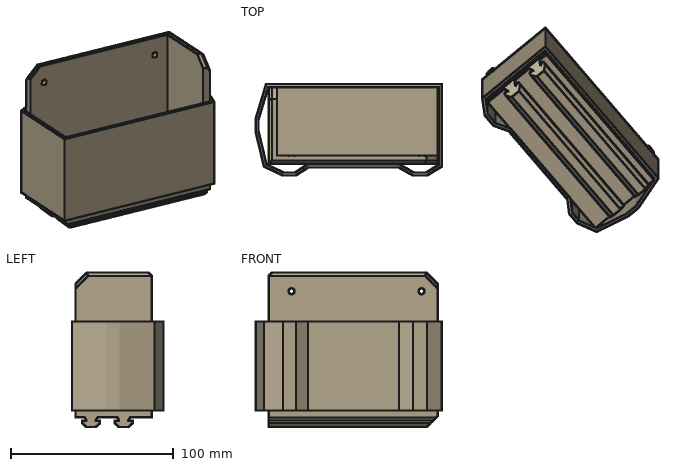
import cadquery as cq


holder_length = 104.0
holder_depth = 47.0
holder_height = 89.1
wall_thickness = 5.0
floor_thickness = wall_thickness
corner_cut = 7.0
edge_bevel = 2.1

hole_diameter = 3.4
hole_height = 77.5
first_hole_x = 14.1
second_hole_x = 94.0

rail_root_half_width = 4.0
rail_neck_half_width = 2.9
rail_flange_half_width = 5.6
rail_tip_half_width = 2.9
rail_neck_drop = 2.0
rail_flange_drop = 3.4
rail_height = 6.0
rail_pitch = 20.0
front_rail_y = 17.3
rail_end_cut = 6.9

sleeve_wall = 2.0
sleeve_bottom = 4.1
sleeve_height = 54.8
sleeve_length = 114.5
right_clearance = 0.6
sleeve_right = holder_length + right_clearance + sleeve_wall
sleeve_left = sleeve_right - sleeve_length
back_clearance = 0.2
front_clearance = 0.3
sleeve_depth = 56.3
sleeve_back = holder_depth + back_clearance + sleeve_wall
panel_front = -(front_clearance + sleeve_wall)
bulge_front = sleeve_back - sleeve_depth
side_corner_y = -1.6


def bevelled_wall(length):
    """Wall along +X, outer face at y = 0, with a cut far top corner and a bevelled outer rim."""
    shoulder_height = holder_height - corner_cut
    wall = (
        cq.Workplane("XZ")
        .moveTo(0, 0)
        .lineTo(length, 0)
        .lineTo(length, shoulder_height)
        .lineTo(length - corner_cut, holder_height)
        .lineTo(0, holder_height)
        .close()
        .extrude(-wall_thickness)
    )
    top_and_cut = cq.selectors.BoxSelector(
        (-1.1, -edge_bevel / 2, shoulder_height + edge_bevel),
        (length + 1.1, edge_bevel / 2, holder_height + 1.1),
    )
    return wall.edges(top_and_cut).chamfer(edge_bevel)


def make_walls():
    """Front and left walls, mitred together at their common corner."""
    front = bevelled_wall(holder_length)
    left = bevelled_wall(holder_depth).mirror("YZ").rotate((0, 0, 0), (0, 0, 1), -90)
    front_side = (
        cq.Workplane("XY")
        .moveTo(0, 0)
        .lineTo(holder_length, 0)
        .lineTo(holder_length, wall_thickness)
        .lineTo(wall_thickness, wall_thickness)
        .close()
        .extrude(holder_height)
    )
    left_side = (
        cq.Workplane("XY")
        .moveTo(0, 0)
        .lineTo(wall_thickness, wall_thickness)
        .lineTo(wall_thickness, holder_depth)
        .lineTo(0, holder_depth)
        .close()
        .extrude(holder_height)
    )
    return front.intersect(front_side).union(left.intersect(left_side))


def make_rail(center_y):
    """Undercut rail running along X below the floor."""
    half_profile = [
        (rail_root_half_width, 0),
        (rail_neck_half_width, -rail_neck_drop),
        (rail_flange_half_width, -rail_neck_drop),
        (rail_flange_half_width, -rail_flange_drop),
        (rail_tip_half_width, -rail_height),
    ]
    right_half = [(center_y + offset, z) for offset, z in half_profile]
    left_half = [(center_y - offset, z) for offset, z in reversed(half_profile)]
    return cq.Workplane("YZ").polyline(right_half + left_half).close().extrude(holder_length)


def make_rail_end_cutter():
    """Wedge that slopes the +X ends of the rails and the floor edge at 45 degrees."""
    return (
        cq.Workplane("XZ")
        .moveTo(holder_length - rail_end_cut, -rail_height)
        .lineTo(holder_length, -rail_height)
        .lineTo(holder_length, rail_end_cut - rail_height)
        .close()
        .extrude(-holder_depth)
    )


def make_holder():
    floor = cq.Workplane("XY").box(holder_length, holder_depth, floor_thickness, centered=False)
    holder = make_walls().union(floor)
    for rail_index in range(2):
        holder = holder.union(make_rail(front_rail_y + rail_index * rail_pitch))
    holder = holder.cut(make_rail_end_cutter())
    holes = (
        cq.Workplane("XZ")
        .pushPoints([(first_hole_x, hole_height), (second_hole_x, hole_height)])
        .circle(hole_diameter / 2)
        .extrude(-wall_thickness)
    )
    return holder.cut(holes)


def make_sleeve():
    outline = [
        (-1.6, sleeve_back),
        (sleeve_left, 27.7),
        (sleeve_left, 19.7),
        (-3.0, side_corner_y),
        (8.8, bulge_front),
        (16.7, bulge_front),
        (24.3, panel_front),
        (80.0, panel_front),
        (88.7, bulge_front),
        (97.3, bulge_front),
        (sleeve_right, side_corner_y),
        (sleeve_right, sleeve_back),
    ]
    base = cq.Workplane("XY").workplane(offset=sleeve_bottom)
    outer = base.polyline(outline).close().extrude(sleeve_height)
    bore_outline = base.polyline(outline).close().offset2D(-sleeve_wall, "intersection")
    bore = bore_outline.extrude(sleeve_height)
    return outer.cut(bore)


holder = make_holder()
sleeve = make_sleeve()

result = cq.Compound.makeCompound([holder.val(), sleeve.val()])